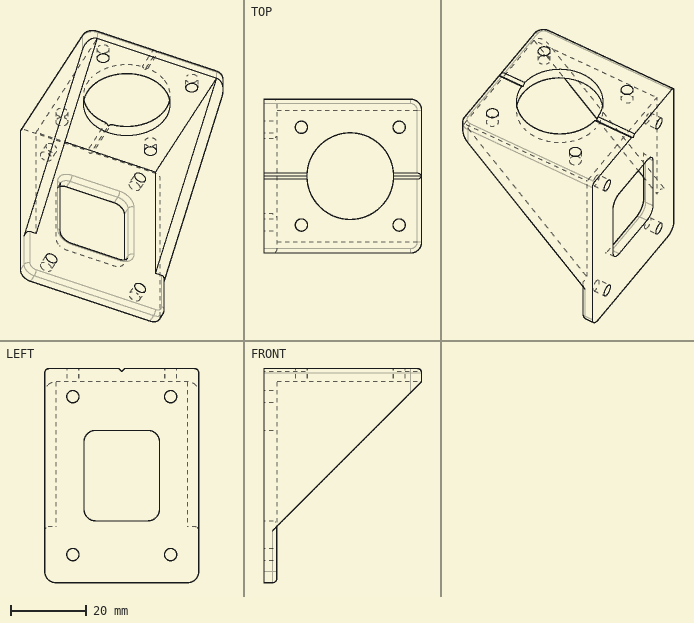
import cadquery as cq

LENGTH = 42.0
WIDTH = 41.0
HEIGHT = 57.0

PLATE_THICKNESS = 3.5
SIDE_THICKNESS = 3.0

CORNER_RADIUS = 3.0
EDGE_RADIUS = 1.2

BRACE_REACH = LENGTH + PLATE_THICKNESS

BORE_DIAMETER = 23.0
BORE_X = 23.0
SCREW_DIAMETER = 3.2
SCREW_PITCH = 26.0

WINDOW_WIDTH = 20.0
WINDOW_HEIGHT = 24.0
MOUNT_PITCH_Z = 42.0

GROOVE_DEPTH = 0.8


def make_plates():
    """Mounting plate, top plate and triangular side walls, with the outer edges rounded."""
    block = (
        cq.Workplane("XY")
        .box(LENGTH, WIDTH, HEIGHT, centered=(False, True, False))
        .translate((0, 0, -HEIGHT))
        .edges("(|Z and >X) or (|X and <Z)")
        .fillet(CORNER_RADIUS)
        .faces(">Z")
        .edges("not <X")
        .fillet(EDGE_RADIUS)
    )
    mounting_plate = (
        cq.Workplane("YZ")
        .rect(WIDTH, HEIGHT)
        .extrude(PLATE_THICKNESS)
        .translate((0, 0, -HEIGHT / 2))
        .edges("|X and <Z")
        .fillet(CORNER_RADIUS)
        .faces(">X")
        .edges("not >Z")
        .fillet(EDGE_RADIUS)
    )
    brace_profile = (
        cq.Workplane("XZ")
        .polyline([(0, 0), (BRACE_REACH, 0), (0, -BRACE_REACH)])
        .close()
        .extrude(WIDTH / 2, both=True)
    )
    cavity = (
        cq.Workplane("XY")
        .box(LENGTH, WIDTH - 2 * SIDE_THICKNESS, HEIGHT, centered=(False, True, False))
        .translate((PLATE_THICKNESS, 0, -HEIGHT - PLATE_THICKNESS))
    )
    braces = brace_profile.cut(cavity)
    return block.intersect(braces.union(mounting_plate))


def cut_top_openings(body):
    """Central bore and four screw holes through the top plate."""
    bore = cq.Workplane("XY").center(BORE_X, 0).circle(BORE_DIAMETER / 2).extrude(-PLATE_THICKNESS)
    screws = (
        cq.Workplane("XY")
        .center(BORE_X, 0)
        .rect(SCREW_PITCH, SCREW_PITCH, forConstruction=True)
        .vertices()
        .circle(SCREW_DIAMETER / 2)
        .extrude(-PLATE_THICKNESS)
    )
    return body.cut(bore).cut(screws)


def cut_mounting_openings(body):
    """Window with a rounded inner rim and four screw holes through the mounting plate."""
    window_plane = cq.Workplane("YZ").center(0, -HEIGHT / 2)
    window = (
        window_plane
        .rect(WINDOW_WIDTH, WINDOW_HEIGHT)
        .extrude(PLATE_THICKNESS)
        .edges("|X")
        .fillet(CORNER_RADIUS)
    )
    screws = (
        window_plane
        .rect(SCREW_PITCH, MOUNT_PITCH_Z, forConstruction=True)
        .vertices()
        .circle(SCREW_DIAMETER / 2)
        .extrude(PLATE_THICKNESS)
    )
    rim_half_width = WINDOW_WIDTH / 2 + EDGE_RADIUS
    rim_half_height = WINDOW_HEIGHT / 2 + EDGE_RADIUS
    rim_zone = cq.selectors.BoxSelector(
        (PLATE_THICKNESS - EDGE_RADIUS / 2, -rim_half_width, -HEIGHT / 2 - rim_half_height),
        (PLATE_THICKNESS + EDGE_RADIUS / 2, rim_half_width, -HEIGHT / 2 + rim_half_height),
    )
    return body.cut(window).edges(rim_zone).fillet(EDGE_RADIUS).cut(screws)


def cut_groove(body):
    """Shallow 90-degree V-groove along X across the top plate."""
    groove = (
        cq.Workplane("YZ")
        .polyline([(-GROOVE_DEPTH, 0), (GROOVE_DEPTH, 0), (0, -GROOVE_DEPTH)])
        .close()
        .extrude(LENGTH)
    )
    return body.cut(groove)


result = cut_groove(cut_mounting_openings(cut_top_openings(make_plates())))